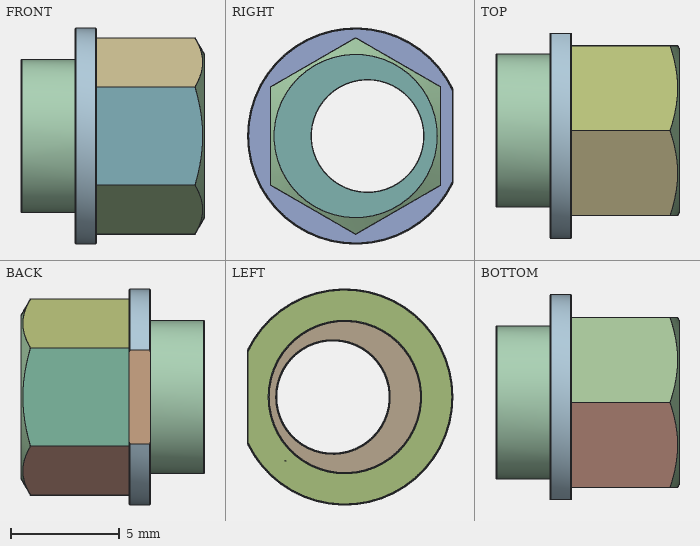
import cadquery as cq
import math

spigot_length = 2.5
flange_thickness = 1.0
hex_length = 5.0
total_length = spigot_length + flange_thickness + hex_length
hex_start = spigot_length + flange_thickness

spigot_diameter = 7.1
flange_diameter = 10.0
flange_flat_distance = 4.5
hex_across_flats = 7.87
hex_across_corners = hex_across_flats / math.cos(math.radians(30))
bore_diameter = 5.2
bore_offset = 0.55

edge_chamfer = 0.05
hex_end_diameter = 7.55
hex_chamfer_angle = 30.0


def plane_at(x):
    """YZ plane at the given X: local x is +Y, local y is +Z."""
    return cq.Workplane("YZ", origin=(x, 0, 0))


def make_spigot():
    spigot = plane_at(0).circle(spigot_diameter / 2).extrude(spigot_length)
    return spigot.faces("<X").chamfer(edge_chamfer)


def make_flange():
    """Chamfered disc with one side cut flat on +Y."""
    radius = flange_diameter / 2
    disc = plane_at(spigot_length).circle(radius).extrude(flange_thickness)
    disc = disc.faces("<X or >X").chamfer(edge_chamfer)
    keep_width = radius + flange_flat_distance
    keep = (
        plane_at(spigot_length)
        .center(flange_flat_distance - keep_width / 2, 0)
        .rect(keep_width, flange_diameter)
        .extrude(flange_thickness)
    )
    return disc.intersect(keep)


def make_hex():
    """Hexagon with corners on Z, its free end turned to a cone."""
    prism = (
        plane_at(hex_start)
        .transformed(rotate=(0, 0, 90))
        .polygon(6, hex_across_corners)
        .extrude(hex_length)
    )
    envelope_radius = flange_diameter / 2
    end_radius = hex_end_diameter / 2
    cone_length = (envelope_radius - end_radius) * math.tan(math.radians(hex_chamfer_angle))
    envelope = (
        cq.Workplane("XY")
        .moveTo(hex_start, 0)
        .lineTo(hex_start, envelope_radius)
        .lineTo(total_length - cone_length, envelope_radius)
        .lineTo(total_length, end_radius)
        .lineTo(total_length, 0)
        .close()
        .revolve(360, (0, 0, 0), (1, 0, 0))
    )
    return prism.intersect(envelope)


def make_bore():
    """Eccentric through hole, flared at the spigot end."""
    radius = bore_diameter / 2
    hole = plane_at(0).center(bore_offset, 0).circle(radius).extrude(total_length)
    flare = (
        plane_at(0)
        .center(bore_offset, 0)
        .circle(radius + edge_chamfer)
        .extrude(edge_chamfer, taper=45)
    )
    return hole.union(flare)


result = make_spigot().union(make_flange()).union(make_hex()).cut(make_bore())